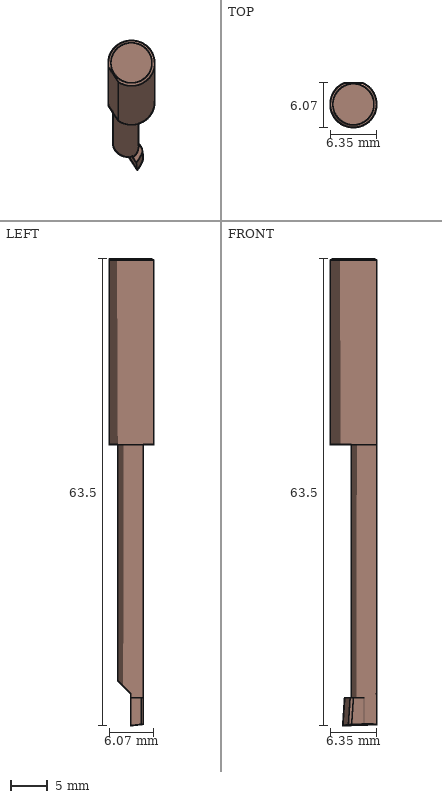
import cadquery as cq

total_length = 63.5
shank_diameter = 6.35
shank_radius = shank_diameter / 2
shank_bottom = 38.2
flat_y = 2.9
chamfer_width = 0.4
chamfer_height = 0.2

neck_diameter = 3.5
neck_radius = neck_diameter / 2
neck_x = shank_radius - neck_radius

rake_height = 4.4
runout_top = rake_height + neck_radius

head_height = 3.8
head_lean = 0.25
tip_x = -1.45
side_mid_x, side_mid_y = -1.15, -0.75
heel_x, heel_y = -0.7, -1.45
corner_x = -0.25

end_rise_x = 0.03
end_rise_y = 0.09


def make_shank():
    length = total_length - shank_bottom
    shank = cq.Workplane("XY").workplane(offset=shank_bottom).circle(shank_radius).extrude(length)
    shank = shank.faces(">Z").edges().chamfer(chamfer_height, chamfer_width)
    flat_cut = (
        cq.Workplane("XY")
        .box(shank_diameter, shank_radius, total_length, centered=(True, False, False))
        .translate((0, flat_y, 0))
    )
    return shank.cut(flat_cut)


def make_neck():
    neck = cq.Workplane("XY").center(neck_x, 0).circle(neck_radius).extrude(shank_bottom)
    rake_cut = (
        cq.Workplane("YZ")
        .polyline([(0, 0), (neck_radius, 0), (neck_radius, runout_top), (0, rake_height)])
        .close()
        .extrude(shank_diameter, both=True)
    )
    return neck.cut(rake_cut)


def head_outline(height, shift):
    """Closed head section with its side face moved along +X by shift."""
    return (
        cq.Workplane("XY", origin=(0, 0, height))
        .moveTo(tip_x + shift, 0)
        .threePointArc((side_mid_x + shift, side_mid_y), (heel_x + shift, heel_y))
        .lineTo(corner_x + shift, -neck_radius)
        .lineTo(neck_x, -neck_radius)
        .lineTo(neck_x, 0)
        .close()
        .wire()
        .val()
    )


def make_head():
    sections = [head_outline(0, 0), head_outline(head_height, head_lean)]
    return cq.Workplane(obj=cq.Solid.makeLoft(sections, True))


def make_end_relief():
    """Block below the sloping end face, which passes through the cutting tip."""
    end_plane = cq.Plane(
        origin=(tip_x, 0, 0),
        xDir=(1, 0, end_rise_x),
        normal=(-end_rise_x, end_rise_y, 1),
    )
    return cq.Workplane(end_plane).rect(4 * shank_diameter, 4 * shank_diameter).extrude(-shank_radius)


cutter = make_neck().union(make_head()).cut(make_end_relief())
result = make_shank().union(cutter)